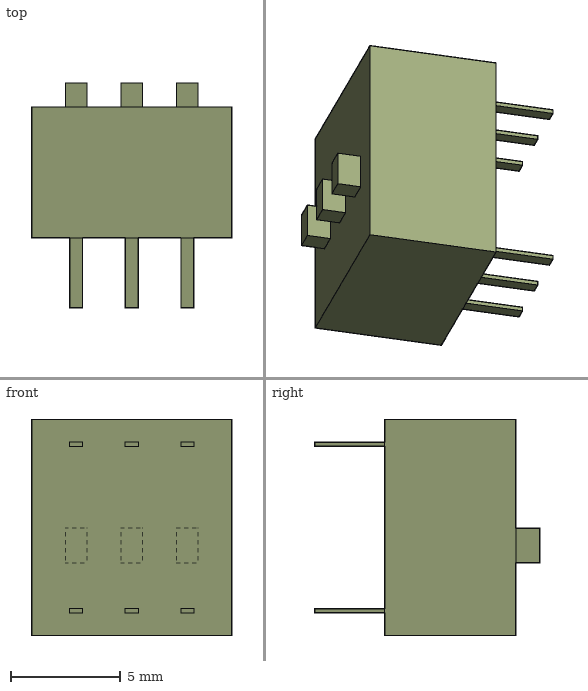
import cadquery as cq

body_width = 9.18
body_depth = 6.0
body_height = 9.9

column_pitch = 2.54
column_positions = [-column_pitch, 0, column_pitch]

slider_width = 1.0
slider_height = 1.6
slider_length = 1.09
slider_center_z = -0.82

pin_width = 0.6
pin_thickness = 0.2
pin_length = 3.2
pin_row_spacing = 7.62
pin_rows = [-pin_row_spacing / 2, pin_row_spacing / 2]


def make_slider(x):
    center_y = (body_depth + slider_length) / 2
    slider = cq.Workplane("XY").box(slider_width, slider_length, slider_height)
    return slider.translate((x, center_y, slider_center_z))


def make_pin(x, z):
    center_y = -(body_depth + pin_length) / 2
    pin = cq.Workplane("XY").box(pin_width, pin_length, pin_thickness)
    return pin.translate((x, center_y, z))


result = cq.Workplane("XY").box(body_width, body_depth, body_height)
for column_x in column_positions:
    result = result.union(make_slider(column_x))
    for row_z in pin_rows:
        result = result.union(make_pin(column_x, row_z))